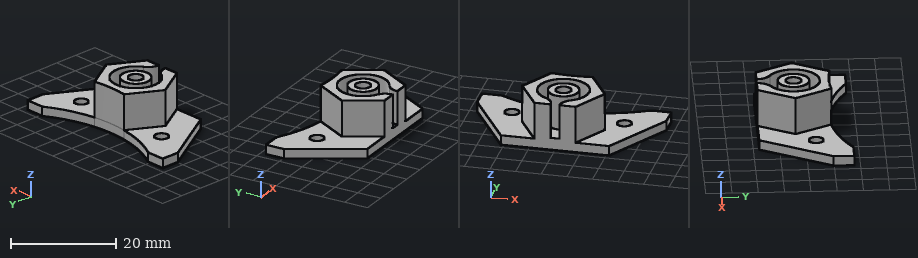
import cadquery as cq
import math

plate_width = 37.0
plate_thickness = 2.0
ear_height = 4.0
side_slope = 60.0
back_arc_radius = 28.25

hex_across_flats = 14.0
total_height = 9.5

ring_diameter = 10.0
post_diameter = 6.0
bore_diameter = 3.0
groove_floor = 2.5
mouth_radius = 3.0

screw_diameter = 2.8
screw_x = 10.98
screw_y = 3.78

front_y = -hex_across_flats / 2
hex_across_corners = hex_across_flats / math.cos(math.radians(30))
hex_corner_x = hex_across_corners / 4

back_arc_center_y = hex_across_flats / 2 + math.sqrt(back_arc_radius**2 - hex_corner_x**2)
back_arc_low_y = back_arc_center_y - back_arc_radius
ear_top_y = back_arc_low_y + ear_height
ear_inner_x = math.sqrt(back_arc_radius**2 - (back_arc_center_y - ear_top_y) ** 2)

plate_half_width = plate_width / 2
side_run = (back_arc_low_y - front_y) / math.tan(math.radians(side_slope))
front_half_width = plate_half_width - side_run


def make_plate():
    """Flat base with slanted sides, two ears and a concave back edge."""
    return (
        cq.Workplane("XY")
        .moveTo(-front_half_width, front_y)
        .lineTo(front_half_width, front_y)
        .lineTo(plate_half_width, back_arc_low_y)
        .lineTo(plate_half_width, ear_top_y)
        .lineTo(ear_inner_x, ear_top_y)
        .threePointArc((0, back_arc_low_y), (-ear_inner_x, ear_top_y))
        .lineTo(-plate_half_width, ear_top_y)
        .lineTo(-plate_half_width, back_arc_low_y)
        .close()
        .extrude(plate_thickness)
    )


def make_hex_boss():
    """Hexagonal boss whose rear face follows the concave back edge."""
    boss = cq.Workplane("XY").polygon(6, hex_across_corners).extrude(total_height)
    back_cut = (
        cq.Workplane("XY")
        .center(0, back_arc_center_y)
        .circle(back_arc_radius)
        .extrude(total_height)
    )
    return boss.cut(back_cut)


def make_groove():
    """Ring-shaped groove with an outlet to the front face, around the centre post."""
    ring_radius = ring_diameter / 2
    center_distance = ring_radius + mouth_radius
    wall_center_x = math.sqrt(center_distance**2 - front_y**2)
    mouth_half_width = wall_center_x - mouth_radius
    tangent_x = wall_center_x * ring_radius / center_distance
    tangent_y = front_y * ring_radius / center_distance

    mid_angle = math.acos(wall_center_x / center_distance) / 2
    wall_mid_x = wall_center_x - mouth_radius * math.cos(mid_angle)
    wall_mid_y = front_y + mouth_radius * math.sin(mid_angle)

    outline = (
        cq.Workplane("XY")
        .workplane(offset=groove_floor)
        .moveTo(-mouth_half_width, front_y)
        .lineTo(mouth_half_width, front_y)
        .threePointArc((wall_mid_x, wall_mid_y), (tangent_x, tangent_y))
        .threePointArc((0, ring_radius), (-tangent_x, tangent_y))
        .threePointArc((-wall_mid_x, wall_mid_y), (-mouth_half_width, front_y))
        .close()
        .extrude(total_height - groove_floor)
    )
    post = cq.Workplane("XY").circle(post_diameter / 2).extrude(total_height)
    return outline.cut(post)


def make_holes():
    """Centre bore and the two screw holes, all through."""
    bore = cq.Workplane("XY").circle(bore_diameter / 2).extrude(total_height)
    screw_holes = (
        cq.Workplane("XY")
        .pushPoints([(-screw_x, screw_y), (screw_x, screw_y)])
        .circle(screw_diameter / 2)
        .extrude(plate_thickness)
    )
    return bore.union(screw_holes)


result = make_plate().union(make_hex_boss()).cut(make_groove()).cut(make_holes())